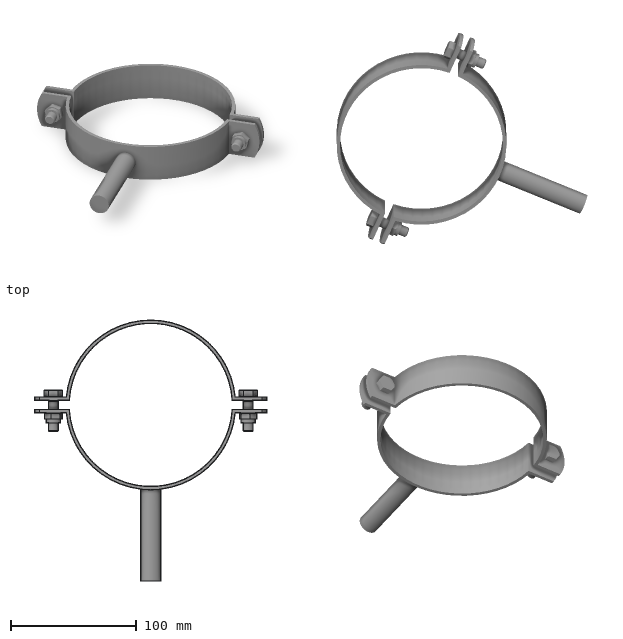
import cadquery as cq
import math

band_width = 30.0
outer_radius = 67.5
thickness = 2.7
inner_radius = outer_radius - thickness
gap = 7.3
ear_span = 185.0
ear_tip = ear_span / 2
ear_end_radius = band_width
ear_face = gap / 2 + thickness
bolt_hole_diameter = 8.5
bolt_offset = 77.5

overall_length = 207.8
rod_diameter = 16.0
rod_end = overall_length - outer_radius

hex_across_flats = 12.9
hex_across_corners = hex_across_flats / math.cos(math.pi / 6)
bearing_height = 0.5
bearing_diameter = 11.6
hex_face_diameter = 13.7
hex_chamfer_angle = math.radians(30)

head_height = 5.0
neck_diameter = 7.3
neck_length = 3.7
thread_diameter = 8.0
bolt_length = 27.6
tip_chamfer = 0.8

nut_hex_height = 4.5
collar_diameter = 11.5
collar_height = 3.0
nut_turns = {-1: 45.6, 1: 19.4}


def disc(x, y, diameter, length):
    """Cylinder whose axis runs from y towards -Y."""
    return cq.Workplane("XZ", origin=(x, y, 0)).circle(diameter / 2).extrude(length)


def chamfer_cone(height):
    """Cone rising towards +Y to the circle where the chamfer meets the end face."""
    end_radius = hex_face_diameter / 2
    base_radius = end_radius + height / math.tan(hex_chamfer_angle)
    return cq.Workplane(
        cq.Solid.makeCone(
            base_radius, end_radius, height, pnt=cq.Vector(0, 0, 0), dir=cq.Vector(0, 1, 0)
        )
    )


def hexagon(height):
    """Hexagonal prism from y = 0 to y = height with its +Y corners chamfered."""
    prism = cq.Workplane("XZ").polygon(6, hex_across_corners).extrude(-height)
    return prism.intersect(chamfer_cone(height))


def band_bore():
    """Space inside the closed band."""
    return cq.Workplane("XY").circle(inner_radius).extrude(band_width / 2, both=True)


def make_upper_half():
    """Half band with a drilled, round-ended ear on each side."""
    bottom = -band_width / 2
    band = (
        cq.Workplane("XY", origin=(0, 0, bottom))
        .circle(outer_radius)
        .circle(inner_radius)
        .extrude(band_width)
    )
    upper_space = (
        cq.Workplane("XY", origin=(0, gap / 2, bottom))
        .rect(ear_span, outer_radius, centered=(True, False))
        .extrude(band_width)
    )
    half = band.intersect(upper_space)
    ear_root = math.sqrt(inner_radius**2 - (gap / 2) ** 2)
    half_width = band_width / 2
    ear_shoulder = ear_tip - ear_end_radius + math.sqrt(ear_end_radius**2 - half_width**2)
    for side in (-1, 1):
        ear = (
            cq.Workplane("XZ", origin=(0, ear_face, 0))
            .moveTo(side * ear_root, -half_width)
            .lineTo(side * ear_shoulder, -half_width)
            .threePointArc((side * ear_tip, 0), (side * ear_shoulder, half_width))
            .lineTo(side * ear_root, half_width)
            .close()
            .extrude(thickness)
        )
        half = half.union(ear.cut(band_bore()))
        half = half.cut(disc(side * bolt_offset, ear_face, bolt_hole_diameter, thickness))
    return half


def make_lower_half(upper_half):
    """Mirrored half band carrying the rod."""
    rod = disc(0, -inner_radius, rod_diameter, rod_end - inner_radius)
    return upper_half.mirror("XZ").union(rod.cut(band_bore()))


def make_bolt(side):
    """Bolt with its head on the upper ear and its tip towards -Y."""
    x = side * bolt_offset
    head = hexagon(head_height).translate((x, ear_face + bearing_height, 0))
    bearing = disc(x, ear_face + bearing_height, bearing_diameter, bearing_height)
    neck = disc(x, ear_face, neck_diameter, neck_length)
    thread = disc(x, ear_face - neck_length, thread_diameter, bolt_length - neck_length)
    thread = thread.faces("<Y").chamfer(tip_chamfer)
    return head.union(bearing).union(neck).union(thread)


def make_nut(side):
    """Nut seated on the lower ear, with its collar towards -Y."""
    x = side * bolt_offset
    hex_top = -ear_face - bearing_height
    hex_bottom = hex_top - nut_hex_height
    body = hexagon(nut_hex_height)
    body = body.intersect(body.mirror("XZ").translate((0, nut_hex_height, 0)))
    body = body.rotate((0, 0, 0), (0, -1, 0), nut_turns[side]).translate((x, hex_bottom, 0))
    bearing = disc(x, -ear_face, bearing_diameter, bearing_height)
    collar = disc(x, hex_bottom, collar_diameter, collar_height)
    total_height = bearing_height + nut_hex_height + collar_height
    bore = disc(x, -ear_face, thread_diameter, total_height)
    return body.union(bearing).union(collar).cut(bore)


upper_half = make_upper_half()
lower_half = make_lower_half(upper_half)
bolts = [make_bolt(side) for side in (-1, 1)]
nuts = [make_nut(side) for side in (-1, 1)]

result = cq.Compound.makeCompound(
    [upper_half.val(), lower_half.val(), *[bolt.val() for bolt in bolts], *[nut.val() for nut in nuts]]
)